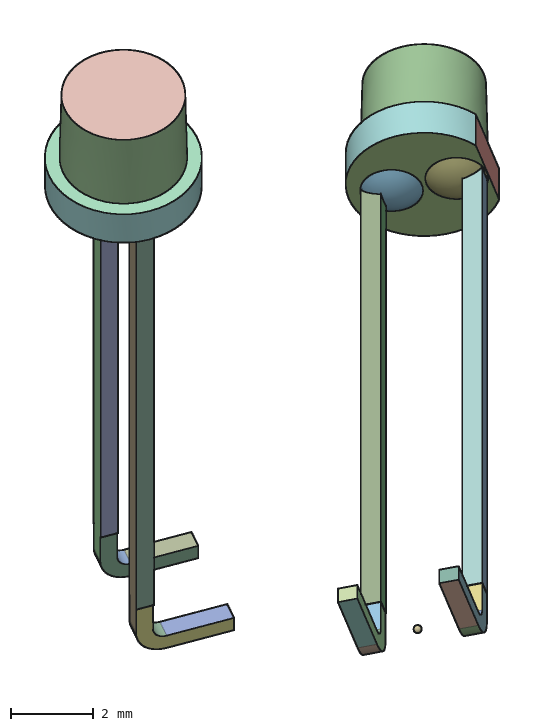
import cadquery as cq
import math

total_height = 18.2
cap_height = 2.2
cap_top_diameter = 3.0
cap_top_radius = cap_top_diameter / 2
cap_base_radius = 1.55
flange_height = 1.0
flange_diameter = 3.8
flange_radius = flange_diameter / 2
flange_width = 3.5
flange_flat_x = flange_radius - flange_width
flange_top = total_height - cap_height
flange_bottom = flange_top - flange_height

dome_radius = 1.1
dome_depth = 0.31
dome_offset = 0.82

lead_pitch = 2.55
lead_width = 0.51
lead_thickness = 0.45
foot_thickness = 0.44
foot_width = 0.5
foot_top = 1.64
bend_inner_radius = 0.35
lead_front_y = -0.22
overall_depth = 4.2
lead_tip_y = overall_depth - flange_radius

ball_radius = 0.1
ball_y = 0.58
ball_z = 0.22


def make_lead(x):
    """Straight stem on a slightly slimmer foot that bends towards +Y."""
    outer_radius = bend_inner_radius + foot_thickness
    foot_back_y = lead_front_y + foot_thickness
    bend_y = lead_front_y + outer_radius
    diagonal = math.sqrt(0.5)
    foot = (
        cq.Workplane("YZ")
        .moveTo(lead_front_y, foot_top)
        .lineTo(lead_front_y, outer_radius)
        .threePointArc(
            (bend_y - outer_radius * diagonal, outer_radius * (1 - diagonal)),
            (bend_y, 0),
        )
        .lineTo(lead_tip_y, 0)
        .lineTo(lead_tip_y, foot_thickness)
        .lineTo(bend_y, foot_thickness)
        .threePointArc(
            (bend_y - bend_inner_radius * diagonal, outer_radius - bend_inner_radius * diagonal),
            (foot_back_y, outer_radius),
        )
        .lineTo(foot_back_y, foot_top)
        .close()
        .extrude(foot_width / 2, both=True)
    )
    stem = cq.Workplane("XY").box(
        lead_width,
        lead_thickness,
        flange_bottom - foot_top,
        centered=(True, False, False),
    ).translate((0, lead_front_y, foot_top))
    return foot.union(stem).translate((x, 0, 0))


def make_dome(x):
    """Ball cap hanging below the flange, its upper part buried in the flange."""
    ball_center_z = flange_bottom - dome_depth + dome_radius
    ball = cq.Workplane("XY").sphere(dome_radius).translate((x, 0, ball_center_z))
    below_flange = cq.Workplane("XY").box(
        flange_diameter, flange_diameter, dome_depth, centered=(True, True, False)
    ).translate((x, 0, flange_bottom - dome_depth))
    return ball.intersect(below_flange)


def make_housing(leads):
    """Tapered cap on a flange with one flat, and two domes notched for the leads."""
    flange = cq.Workplane("XY").workplane(offset=flange_bottom).circle(flange_radius).extrude(flange_height)
    kept_side = cq.Workplane("XY").box(
        flange_width,
        flange_diameter,
        total_height,
        centered=(False, True, False),
    ).translate((flange_flat_x, 0, 0))
    cap = cq.Workplane("XZ").polyline([
        (0, flange_top),
        (cap_base_radius, flange_top),
        (cap_top_radius, total_height),
        (0, total_height),
    ]).close().revolve(360, (0, 0, 0), (0, 1, 0))
    housing = flange.intersect(kept_side).union(cap)
    for side in (-1, 1):
        housing = housing.union(make_dome(side * dome_offset))
    for lead in leads:
        housing = housing.cut(lead)
    return housing


leads = [make_lead(side * lead_pitch / 2) for side in (-1, 1)]
housing = make_housing(leads)
ball = cq.Workplane("XY").sphere(ball_radius).translate((0, ball_y, ball_z))

result = cq.Compound.makeCompound([
    housing.val(),
    *[lead.val() for lead in leads],
    ball.val(),
])